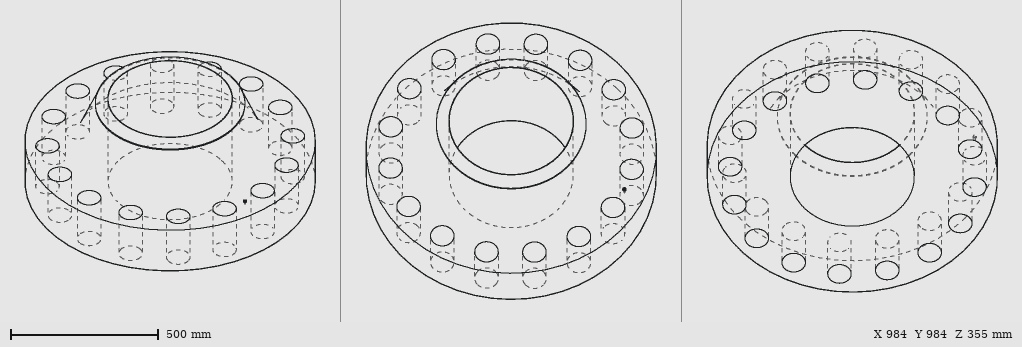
import cadquery as cq
import math

flange_diameter = 984.0
flange_thickness = 175.0

total_height = 355.0
hub_base_radius = 320.0
hub_top_radius = 254.0
hub_cone_top = 334.0
hub_base_blend_radius = 5.0

bore_diameter = 420.0
rim_radius = 212.0
bevel_break_radius = 228.0
shallow_bevel_angle = 10.0
steep_bevel_angle = 37.5
bevel_blend_radius = 5.0

bolt_hole_count = 16
bolt_hole_diameter = 80.0
bolt_circle_radius = 416.0

small_counterbore_diameter = 12.0
small_counterbore_depth = 3.0
small_hole_diameter = 5.0
small_hole_depth = 20.0

edge_tolerance = 0.5


def bevel_rise(outer_radius, inner_radius, angle):
    """Height gained by a bevel running inward at an angle from horizontal."""
    return (outer_radius - inner_radius) * math.tan(math.radians(angle))


def blend_circle(body, circle_radius, height, blend_radius):
    """Fillet the circular edge of the given radius at the given height."""
    reach = circle_radius + edge_tolerance
    edge_box = cq.selectors.BoxSelector(
        (-reach, -reach, height - edge_tolerance),
        (reach, reach, height + edge_tolerance),
        boundingbox=True,
    )
    return body.edges(edge_box).fillet(blend_radius)


def make_body():
    """Revolve the half section of the flange, hub and bore, then blend its inner corners."""
    steep_bevel_base = total_height - bevel_rise(bevel_break_radius, rim_radius, steep_bevel_angle)
    shallow_bevel_base = steep_bevel_base - bevel_rise(
        hub_top_radius, bevel_break_radius, shallow_bevel_angle
    )
    bore_radius = bore_diameter / 2
    flange_radius = flange_diameter / 2
    section = (
        cq.Workplane("XZ")
        .moveTo(bore_radius, 0)
        .lineTo(flange_radius, 0)
        .lineTo(flange_radius, flange_thickness)
        .lineTo(hub_base_radius, flange_thickness)
        .lineTo(hub_top_radius, hub_cone_top)
        .lineTo(hub_top_radius, shallow_bevel_base)
        .lineTo(bevel_break_radius, steep_bevel_base)
        .lineTo(rim_radius, total_height)
        .lineTo(bore_radius, total_height)
        .close()
    )
    body = section.revolve(360, (0, 0, 0), (0, 1, 0))
    body = blend_circle(body, hub_base_radius, flange_thickness, hub_base_blend_radius)
    return blend_circle(body, bevel_break_radius, steep_bevel_base, bevel_blend_radius)


def cut_bolt_holes(body):
    """Drill the ring of through holes."""
    holes = (
        cq.Workplane("XY")
        .polarArray(bolt_circle_radius, 0, 360, bolt_hole_count)
        .circle(bolt_hole_diameter / 2)
        .extrude(flange_thickness)
    )
    return body.cut(holes)


def cut_small_hole(body):
    """Drill the small counterbored hole in the flange top, midway between two bolt holes."""
    angle = math.radians(360 / bolt_hole_count / 2)
    center = (
        bolt_circle_radius * math.cos(angle),
        bolt_circle_radius * math.sin(angle),
        flange_thickness,
    )
    top = cq.Workplane("XY", origin=center)
    counterbore = top.circle(small_counterbore_diameter / 2).extrude(-small_counterbore_depth)
    hole = top.circle(small_hole_diameter / 2).extrude(-small_hole_depth)
    return body.cut(counterbore.union(hole))


result = cut_small_hole(cut_bolt_holes(make_body()))